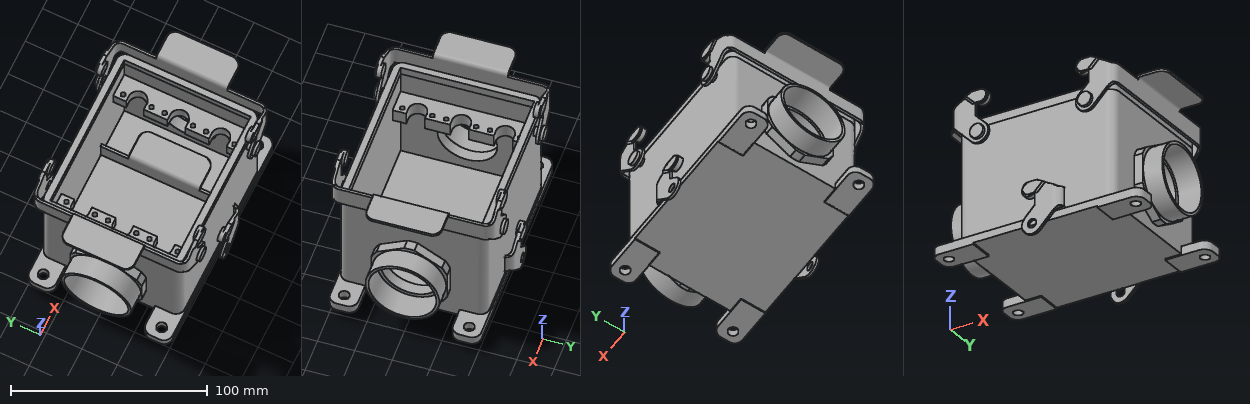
import cadquery as cq
import math

body_length = 93.2
body_width = 79.2
body_corner_radius = 5.0
body_bottom = 0.8
body_top = 72.0
rim_height = 5.0
end_wall = 3.6
side_wall = 3.9
floor_thickness = 5.0

cavity_length = body_length - 2 * end_wall
cavity_width = body_width - 2 * side_wall
rim_bottom = body_top - rim_height

rail_length = 124.6
rail_outer_width = 80.9
rail_width = 15.2
rail_thickness = 5.2
rail_corner_radius = 5.0
rail_relief_length = 74.0
mount_hole_diameter = 5.5
mount_hole_x = 55.8
mount_hole_y = 33.4

ledge_top = 53.0
ledge_height = 8.0
ledge_inner_x = 30.0
scallop_width = 10.0
scallop_end_x = 38.3
scallop_pitch = 23.4
ledge_hole_diameter = 2.46
ledge_hole_x = 32.9
ledge_hole_y = (8.0, 15.4, 31.4)

entry_z = 28.0
entry_bore_diameter = 32.0
socket_bore_diameter = 36.24
spigot_diameter = 39.4
hex_across_flats = 40.4
hex_corner_diameter = 43.8
hex_end_x = 51.8
spigot_end_x = 63.0
socket_bottom_x = 49.2

pin_x = 32.2
pin_z = 62.18
pin_diameter = 4.9
pin_head_diameter = 8.0
pin_end_y = 45.2

sheet = 1.5
latch_outer_x = 16.95
latch_outer_y = 43.5
latch_bend_radius = 5.0
pivot_hole_diameter = 5.0
pivot_eye_radius = 6.0
strap_bottom = 6.95
strap_top = 17.85
arm_edge_x = 1.6
hook_bottom = 17.0
hook_top = 24.0
hook_round_x = -1.75
hook_slope_top_x = 3.5
hook_slope_foot_x = 15.0
hook_offset = 0.75
step_start = 13.75
step_end = 15.4
button_diameter = 8.0
button_x = -2.0
button_inner_y = 40.65
tab_width = 40.2
tab_end_x = 64.75 - pin_x
tab_top = 20.6
tab_bend_inner_radius = 1.0
tab_corner_radius = 5.0

BOTH = (-1, 1)


def box(x_min, x_max, y_min, y_max, z_min, z_max):
    return (
        cq.Workplane("XY")
        .box(x_max - x_min, y_max - y_min, z_max - z_min, centered=False)
        .translate((x_min, y_min, z_min))
    )


def upright_block(length, width, bottom, top):
    """Block centred on the Z axis."""
    return cq.Workplane("XY").workplane(offset=bottom).rect(length, width).extrude(top - bottom)


def rod_y(diameter, x, z, y_from, y_to):
    """Cylinder along Y."""
    return (
        cq.Workplane("XZ", origin=(x, y_from, z))
        .circle(diameter / 2)
        .extrude(y_from - y_to)
    )


def turned_half(shape):
    """Copy turned by 180 degrees about the Z axis."""
    return shape.rotate((0, 0, 0), (0, 0, 1), 180)


def arm_outline():
    """Side outline of an arm with its hook, widened to take in the strap."""
    diagonal = pivot_eye_radius * math.sqrt(0.5)
    hook_radius = (hook_top - hook_bottom) / 2
    hook_middle = (hook_top + hook_bottom) / 2
    beyond = latch_outer_x + 1
    return (
        cq.Workplane("XZ")
        .moveTo(diagonal, -diagonal)
        .threePointArc((-diagonal, -diagonal), (-diagonal, diagonal))
        .lineTo(arm_edge_x, arm_edge_x + 2 * diagonal)
        .lineTo(arm_edge_x, hook_bottom)
        .lineTo(hook_round_x, hook_bottom)
        .threePointArc((hook_round_x - hook_radius, hook_middle), (hook_round_x, hook_top))
        .lineTo(hook_slope_top_x, hook_top)
        .lineTo(hook_slope_foot_x, strap_top)
        .lineTo(beyond, strap_top)
        .lineTo(beyond, strap_bottom)
        .lineTo(strap_bottom + 2 * diagonal, strap_bottom)
        .close()
        .extrude(latch_outer_y + 1, both=True)
    )


def bent_strip():
    """Strap and both arms as a tall U of sheet."""
    far = -2 * pivot_eye_radius
    height = 2 * hook_top
    inner_x = latch_outer_x - sheet
    inner_y = latch_outer_y - sheet
    outer = box(far, latch_outer_x, -latch_outer_y, latch_outer_y, -height, height)
    inner = box(far, inner_x, -inner_y, inner_y, -height, height)
    outer = outer.edges("|Z and >X").fillet(latch_bend_radius)
    inner = inner.edges("|Z and >X").fillet(latch_bend_radius - sheet)
    return outer.cut(inner)


def hook_thickening():
    """Thicker sheet of the +Y hook, stepping outwards along a line at 45 degrees to the arm."""
    start = step_start * math.sqrt(0.5)
    end = step_end * math.sqrt(0.5)
    far = 2 * hook_top
    inner_y = latch_outer_y - sheet
    raised_y = latch_outer_y + hook_offset
    across_step = cq.Plane(origin=(0, 0, 0), xDir=(-1, 0, 1), normal=(-1, 0, -1))
    block = (
        cq.Workplane(across_step)
        .moveTo(start, inner_y)
        .lineTo(start, latch_outer_y)
        .lineTo(end, raised_y)
        .lineTo(far, raised_y)
        .lineTo(far, inner_y)
        .close()
        .extrude(far, both=True)
    )
    return block.intersect(box(-far, far, inner_y, raised_y, hook_bottom, far))


def tab():
    """Finger tab, bent outwards from the top of the strap."""
    inner_x = latch_outer_x - sheet
    bend_x = latch_outer_x + tab_bend_inner_radius
    tab_bottom = tab_top - sheet
    bend_z = tab_bottom - tab_bend_inner_radius
    root_z = strap_top - sheet
    middle = math.sqrt(0.5)
    outer_radius = tab_bend_inner_radius + sheet
    plate = (
        cq.Workplane("XZ")
        .moveTo(latch_outer_x, root_z)
        .lineTo(latch_outer_x, bend_z)
        .threePointArc(
            (bend_x - tab_bend_inner_radius * middle, bend_z + tab_bend_inner_radius * middle),
            (bend_x, tab_bottom),
        )
        .lineTo(tab_end_x, tab_bottom)
        .lineTo(tab_end_x, tab_top)
        .lineTo(bend_x, tab_top)
        .threePointArc(
            (bend_x - outer_radius * middle, bend_z + outer_radius * middle),
            (inner_x, bend_z),
        )
        .lineTo(inner_x, root_z)
        .close()
        .extrude(tab_width / 2, both=True)
    )
    return plate.edges("|Z and >X").fillet(tab_corner_radius)


def make_latch():
    hook = hook_thickening()
    sheets = bent_strip().union(hook).union(hook.mirror("XZ"))
    latch = sheets.intersect(arm_outline()).union(tab())
    button_z = hook_top - button_diameter / 2
    for side in BOTH:
        latch = latch.union(
            rod_y(button_diameter, button_x, button_z, side * button_inner_y, side * latch_outer_y)
        )
    return latch.cut(rod_y(pivot_hole_diameter, 0, 0, -latch_outer_y, latch_outer_y))


def shell():
    body = upright_block(body_length, body_width, body_bottom, rim_bottom)
    body = body.edges("|Z").fillet(body_corner_radius)
    return body.cut(upright_block(cavity_length, cavity_width, body_bottom + floor_thickness, rim_bottom))


def rail():
    """Mounting rail on the -Y side with its holes and its relieved underside."""
    outer_y = rail_outer_width / 2
    end = rail_length / 2
    bar = box(-end, end, -outer_y, rail_width - outer_y, 0, rail_thickness)
    bar = bar.edges("|Z").fillet(rail_corner_radius)
    relief = rail_relief_length / 2
    bar = bar.cut(box(-relief, relief, -outer_y, rail_width - outer_y, 0, body_bottom))
    holes = (
        cq.Workplane("XY")
        .pushPoints([(side * mount_hole_x, -mount_hole_y) for side in BOTH])
        .circle(mount_hole_diameter / 2)
        .extrude(rail_thickness)
    )
    return bar.cut(holes)


def ledge():
    """Contact ledge on the +X end wall."""
    bottom = ledge_top - ledge_height
    block = box(
        ledge_inner_x, cavity_length / 2, -cavity_width / 2, cavity_width / 2, bottom, ledge_top
    )
    radius = scallop_width / 2
    centre_x = scallop_end_x - radius
    for y in (-scallop_pitch, 0, scallop_pitch):
        scallop = cq.Workplane("XY", origin=(centre_x, y, bottom)).circle(radius).extrude(ledge_height)
        mouth = box(ledge_inner_x, centre_x, y - radius, y + radius, bottom, ledge_top)
        block = block.cut(scallop).cut(mouth)
    holes = (
        cq.Workplane("XY", origin=(0, 0, bottom))
        .pushPoints([(ledge_hole_x, side * y) for y in ledge_hole_y for side in BOTH])
        .circle(ledge_hole_diameter / 2)
        .extrude(ledge_height)
    )
    return block.cut(holes)


def entry_rod(diameter, x_from, x_to):
    """Cylinder along the cable entry axis."""
    return cq.Workplane("YZ", origin=(x_from, 0, entry_z)).circle(diameter / 2).extrude(x_to - x_from)


def entry():
    """Hexagon collar and spigot on the +X end wall, still solid."""
    wall_x = body_length / 2
    collar = (
        cq.Workplane("YZ", origin=(wall_x, 0, entry_z))
        .transformed(rotate=(0, 0, 90))
        .polygon(6, hex_across_flats / math.cos(math.radians(30)))
        .extrude(hex_end_x - wall_x)
    )
    collar = collar.intersect(entry_rod(hex_corner_diameter, wall_x, hex_end_x))
    return collar.union(entry_rod(spigot_diameter, wall_x, spigot_end_x))


def entry_bore():
    """Through bore with a wider socket from the outer end."""
    bore = entry_rod(entry_bore_diameter, cavity_length / 2, spigot_end_x)
    return bore.union(entry_rod(socket_bore_diameter, socket_bottom_x, spigot_end_x))


def pivot_pin(x, side):
    """Headed pin that stands out of a side wall."""
    shank = rod_y(pin_diameter, x, pin_z, side * body_width / 2, side * pin_end_y)
    head = rod_y(pin_head_diameter, x, pin_z, side * latch_outer_y, side * pin_end_y)
    return shank.union(head)


def make_housing(loose_latch):
    housing = shell()
    housing = housing.union(rail()).union(turned_half(rail()))
    housing = housing.union(ledge()).union(turned_half(ledge()))
    housing = housing.union(entry()).union(turned_half(entry()))
    housing = housing.cut(entry_bore()).cut(turned_half(entry_bore()))
    for end in BOTH:
        for side in BOTH:
            housing = housing.union(pivot_pin(end * pin_x, side))
    return housing.cut(loose_latch)


def make_rim():
    """Rectangular frame on top of the housing walls."""
    frame = upright_block(body_length, body_width, rim_bottom, body_top)
    frame = frame.edges("|Z").fillet(body_corner_radius)
    return frame.cut(upright_block(cavity_length, cavity_width, rim_bottom, body_top))


loose_latch = make_latch()
right_latch = loose_latch.translate((pin_x, 0, pin_z))
left_latch = turned_half(right_latch)
housing = make_housing(loose_latch)
rim = make_rim()

result = cq.Compound.makeCompound(
    [housing.val(), rim.val(), loose_latch.val(), right_latch.val(), left_latch.val()]
)